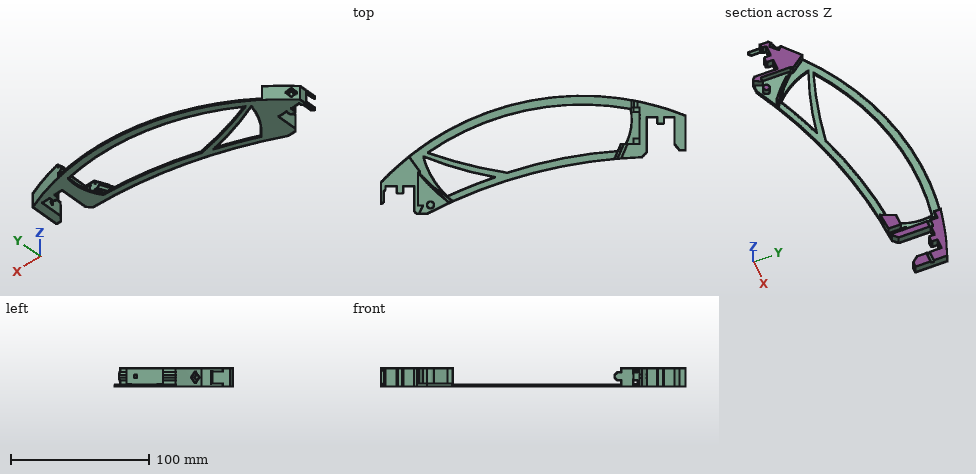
import cadquery as cq
import math

LENGTH = 220.71
WIDTH = 85.67
HEIGHT = 13.26
FRAME_THICKNESS = 1.5
MID_HEIGHT = HEIGHT / 2
ABOVE_FRAME_MID = (HEIGHT + FRAME_THICKNESS) / 2

LEFT_FOOT_X = 33.3
OUTER_RADIUS = 201.0
OUTER_CENTER = (146.0, WIDTH - OUTER_RADIUS)
UPPER_RING_RADIUS = 197.0
UPPER_RING_CENTER = (145.9, -117.8)
LOWER_CENTER = (202.0, -324.0)
LOWER_RADIUS = math.hypot(LOWER_CENTER[0] - LEFT_FOOT_X, LOWER_CENTER[1])
LOWER_RING_RADIUS = 315.9
LOWER_RING_CENTER = (191.0, -269.9)
STRUT_TOP_RADIUS = 226.4
STRUT_TOP_CENTER = (117.6, 255.4)
LEFT_EDGE_RADIUS = 61.0
LEFT_EDGE_CENTER = (89.7, 57.3)
RIGHT_EDGE_RADIUS = 39.4
RIGHT_EDGE_CENTER = (142.2, 68.4)

LEFT_SEAM_X = 20.3
LEFT_SLOT_TOP = 20.0
LEFT_LEG_X = 24.0
HOOK_END_Y = 7.2
HOOK_THICKNESS = 2.2
HOOK_ROOT_THICKNESS = 3.4
HOOK_STEP_Y = 16.4
HOOK_ARM_HEIGHT = 2.25
HOOK_LIP = 0.2
HOOK_WINDOW_END = 16.0
POCKET_FLOOR = 2.0
POCKET_X = 26.8
POCKET_FOOT_Y = 6.1
WALL_END_X = 52.2
WALL_END_Y = 9.2
PIN_CENTER = (35.9, 6.5)
PIN_DIAMETER = 5.0
SOCKET_SIDE = 6.0
SOCKET_DEPTH = 3.5
SOCKET_Y = 27.3

SEAT_X = 187.4
SEAT_BOTTOM = 50.7
SEAT_TOP = 77.2
UPPER_FACE_X = 185.8
LOWER_FACE_BOTTOM_X = 174.1
LOWER_FACE_TOP_X = 178.6
RIGHT_SLOT_LEFT = 192.7
RIGHT_SLOT_RIGHT = 212.5
RIGHT_SLOT_TOP = 69.9
ARM_END_Y = 46.1
LEG_CHAMFER = 3.7
ARM_CHAMFER_X = 3.8
ARM_CHAMFER_Y = 4.6
CHANNEL_X = 182.8
CHANNEL_TOP = 11.6
PAD_TOP = 1.8
UPPER_PAD_DEPTH = 3.3
LOWER_PAD_DEPTH = 3.8
HOLE_DIAMETER = 2.4
WALL_HOLE_Y = 70.5
ARM_HOLE_Y = 59.5

TONGUE_SHANK = 2.4
TONGUE_TAPER = 2.0
TONGUE_ROOT_HALF = 3.0
TONGUE_TIP_HALF = 1.0
OVERLAP = 1.0


def point_on_arc(center, radius, x, side):
    """Point at x on the upper (side=1) or lower (side=-1) half of a circle."""
    return (x, center[1] + side * math.sqrt(radius**2 - (x - center[0])**2))


def outer(x):
    return point_on_arc(OUTER_CENTER, OUTER_RADIUS, x, 1)


def lower(x):
    return point_on_arc(LOWER_CENTER, LOWER_RADIUS, x, 1)


def upper_ring(x):
    return point_on_arc(UPPER_RING_CENTER, UPPER_RING_RADIUS, x, 1)


def lower_ring(x):
    return point_on_arc(LOWER_RING_CENTER, LOWER_RING_RADIUS, x, 1)


def strut_top(x):
    return point_on_arc(STRUT_TOP_CENTER, STRUT_TOP_RADIUS, x, -1)


def left_edge(y):
    return (LEFT_EDGE_CENTER[0] - math.sqrt(LEFT_EDGE_RADIUS**2 - (y - LEFT_EDGE_CENTER[1])**2), y)


def right_edge(y):
    return (RIGHT_EDGE_CENTER[0] + math.sqrt(RIGHT_EDGE_RADIUS**2 - (y - RIGHT_EDGE_CENTER[1])**2), y)


def box(x0, x1, y0, y1, z0, z1):
    return cq.Workplane("XY").box(x1 - x0, y1 - y0, z1 - z0, centered=False).translate((x0, y0, z0))


def envelope(height):
    """Whole outline between the outer and the lower arc, at the given height."""
    mid_x = (LEFT_FOOT_X + RIGHT_SLOT_LEFT) / 2
    return (
        cq.Workplane("XY")
        .moveTo(*outer(0))
        .threePointArc(outer(LENGTH / 2), outer(LENGTH))
        .lineTo(LENGTH, 0)
        .lineTo(RIGHT_SLOT_LEFT, 0)
        .lineTo(*lower(RIGHT_SLOT_LEFT))
        .threePointArc(lower(mid_x), (LEFT_FOOT_X, 0))
        .lineTo(0, 0)
        .close()
        .extrude(height)
    )


def main_window():
    """Large opening between the upper ring, the strut, the lower arm and the right edge."""
    left_x = 34.0
    right_y = 76.0
    strut_end_x = 91.5
    corner_y = 45.9
    corner = right_edge(corner_y)
    ring_mid_x = (left_x + corner[0]) / 2
    start = upper_ring(left_x)
    return (
        cq.Workplane("XY")
        .moveTo(*start)
        .threePointArc(upper_ring(ring_mid_x), right_edge(right_y))
        .threePointArc(right_edge((right_y + corner_y) / 2), corner)
        .threePointArc(lower_ring((strut_end_x + corner[0]) / 2), lower_ring(strut_end_x))
        .threePointArc(strut_top((left_x + strut_end_x) / 2), start)
        .close()
        .extrude(FRAME_THICKNESS)
    )


def small_window():
    """Three-sided opening below the strut."""
    top_y = 41.6
    bottom_y = 12.8
    tip = (82.5, 26.6)
    strut_middle = (56.5, 32.7)
    arm_middle = (65.0, 20.1)
    return (
        cq.Workplane("XY")
        .moveTo(*left_edge(top_y))
        .threePointArc(strut_middle, tip)
        .threePointArc(arm_middle, left_edge(bottom_y))
        .threePointArc(left_edge((top_y + bottom_y) / 2), left_edge(top_y))
        .close()
        .extrude(FRAME_THICKNESS)
    )


def frame():
    """Thin plate with its windows, stopping where the holders begin."""
    ends = box(0, LEFT_SEAM_X, 0, WIDTH, 0, HEIGHT).union(
        box(SEAT_X, LENGTH, 0, WIDTH, 0, HEIGHT)
    )
    foot = box(0, LEFT_FOOT_X, 0, LEFT_SLOT_TOP, 0, HEIGHT)
    return envelope(FRAME_THICKNESS).cut(ends).cut(foot).cut(main_window()).cut(small_window())


def left_block():
    """Full-height outline: clip slot with a centre tab, hook, leg and slanted thin wall."""
    seam_end = (28.2, 30.7)
    wall_start = (28.5, 28.6)
    wall_bend = (37.3, 20.0)
    tab_left, tab_right = 11.4, 16.2
    tab_bottom = 14.7
    tab_chamfer = 0.8
    hook_tip = 0.6
    hook_chamfer = HOOK_THICKNESS - hook_tip
    leg_chamfer = 2.0
    return (
        cq.Workplane("XY")
        .moveTo(*outer(0))
        .threePointArc(outer(LEFT_SEAM_X / 2), outer(LEFT_SEAM_X))
        .lineTo(*seam_end)
        .lineTo(*wall_start)
        .lineTo(*wall_bend)
        .lineTo(*lower(WALL_END_X))
        .threePointArc(lower((LEFT_FOOT_X + WALL_END_X) / 2), (LEFT_FOOT_X, 0))
        .lineTo(LEFT_LEG_X + leg_chamfer, 0)
        .lineTo(LEFT_LEG_X, leg_chamfer)
        .lineTo(LEFT_LEG_X, LEFT_SLOT_TOP)
        .lineTo(tab_right, LEFT_SLOT_TOP)
        .lineTo(tab_right, tab_bottom + tab_chamfer)
        .lineTo(tab_right - tab_chamfer, tab_bottom)
        .lineTo(tab_left + tab_chamfer, tab_bottom)
        .lineTo(tab_left, tab_bottom + tab_chamfer)
        .lineTo(tab_left, LEFT_SLOT_TOP)
        .lineTo(HOOK_ROOT_THICKNESS, LEFT_SLOT_TOP)
        .lineTo(HOOK_ROOT_THICKNESS, HOOK_STEP_Y + HOOK_ROOT_THICKNESS - HOOK_THICKNESS)
        .lineTo(HOOK_THICKNESS, HOOK_STEP_Y)
        .lineTo(HOOK_THICKNESS, HOOK_END_Y + hook_chamfer)
        .lineTo(hook_tip, HOOK_END_Y)
        .lineTo(0, HOOK_END_Y)
        .close()
        .extrude(HEIGHT)
    )


def latch_pocket():
    """Triangular pocket behind the leg, open towards the lower edge."""
    apex = (POCKET_X, 30.1)
    foot_tip_x = 30.5
    wall_face_middle = (37.9, 18.1)
    wall_corner_x = 48.2
    foot_end_x = 27.5
    return (
        cq.Workplane("XY")
        .workplane(offset=POCKET_FLOOR)
        .moveTo(*apex)
        .lineTo(POCKET_X, POCKET_FOOT_Y)
        .lineTo(foot_tip_x, POCKET_FOOT_Y)
        .lineTo(foot_end_x, 0)
        .lineTo(foot_end_x, -OVERLAP)
        .lineTo(WALL_END_X, -OVERLAP)
        .lineTo(WALL_END_X, WALL_END_Y)
        .lineTo(wall_corner_x, WALL_END_Y)
        .threePointArc(wall_face_middle, apex)
        .close()
        .extrude(HEIGHT)
    )


def diamond_socket():
    """Square blind socket, turned on its corner, square to the curved outer edge."""
    x = OUTER_CENTER[0] - math.sqrt(OUTER_RADIUS**2 - (SOCKET_Y - OUTER_CENTER[1])**2)
    inward = cq.Vector(OUTER_CENTER[0] - x, OUTER_CENTER[1] - SOCKET_Y, 0).normalized()
    mouth = cq.Vector(x, SOCKET_Y, MID_HEIGHT) - inward * OVERLAP
    plane = cq.Plane(origin=mouth, xDir=(0, 0, 1), normal=inward)
    return (
        cq.Workplane(plane)
        .transformed(rotate=(0, 0, 45))
        .rect(SOCKET_SIDE, SOCKET_SIDE)
        .extrude(SOCKET_DEPTH + OVERLAP)
    )


def hook_window():
    """Opening through the hook wall that widens at 45 degrees towards its inner face."""
    half = MID_HEIGHT - HOOK_ARM_HEIGHT
    flare = HOOK_THICKNESS - HOOK_LIP
    return (
        cq.Workplane("XZ", origin=(0, HOOK_WINDOW_END, MID_HEIGHT))
        .polyline([
            (-OVERLAP, -half),
            (HOOK_LIP, -half),
            (HOOK_THICKNESS, -half - flare),
            (HOOK_THICKNESS, half + flare),
            (HOOK_LIP, half),
            (-OVERLAP, half),
        ])
        .close()
        .extrude(HOOK_WINDOW_END)
    )


def left_holder():
    pin = cq.Workplane("XY").center(*PIN_CENTER).circle(PIN_DIAMETER / 2).extrude(HEIGHT)
    return left_block().cut(latch_pocket()).cut(hook_window()).cut(diamond_socket()).union(pin)


def right_block():
    """Full-height outline: seat for the mating part, clip slot with a centre tab, and end arm."""
    tab_left, tab_right = 200.1, 205.2
    tab_bottom = 65.2
    tab_chamfer = 0.8
    leg_corner_x = RIGHT_SLOT_LEFT - LEG_CHAMFER
    leg_corner = lower(leg_corner_x)
    return (
        cq.Workplane("XY")
        .moveTo(*outer(UPPER_FACE_X))
        .threePointArc(outer((UPPER_FACE_X + LENGTH) / 2), outer(LENGTH))
        .lineTo(LENGTH, ARM_END_Y)
        .lineTo(RIGHT_SLOT_RIGHT + ARM_CHAMFER_X, ARM_END_Y)
        .lineTo(RIGHT_SLOT_RIGHT, ARM_END_Y + ARM_CHAMFER_Y)
        .lineTo(RIGHT_SLOT_RIGHT, RIGHT_SLOT_TOP)
        .lineTo(tab_right, RIGHT_SLOT_TOP)
        .lineTo(tab_right, tab_bottom + tab_chamfer)
        .lineTo(tab_right - tab_chamfer, tab_bottom)
        .lineTo(tab_left + tab_chamfer, tab_bottom)
        .lineTo(tab_left, tab_bottom + tab_chamfer)
        .lineTo(tab_left, RIGHT_SLOT_TOP)
        .lineTo(RIGHT_SLOT_LEFT, RIGHT_SLOT_TOP)
        .lineTo(RIGHT_SLOT_LEFT, leg_corner[1] + LEG_CHAMFER)
        .lineTo(*leg_corner)
        .threePointArc(lower((leg_corner_x + LOWER_FACE_BOTTOM_X) / 2), lower(LOWER_FACE_BOTTOM_X))
        .lineTo(LOWER_FACE_TOP_X, SEAT_BOTTOM)
        .lineTo(SEAT_X, SEAT_BOTTOM)
        .lineTo(SEAT_X, SEAT_TOP)
        .lineTo(UPPER_FACE_X, SEAT_TOP)
        .close()
        .extrude(HEIGHT)
    )


def tongue(bottom, top):
    """Tapered tongue standing out to the left of the face that runs from bottom to top."""
    start = cq.Vector(*bottom, ABOVE_FRAME_MID)
    edge = cq.Vector(*top, ABOVE_FRAME_MID) - start
    length = edge.Length
    along = edge.normalized()
    outward = cq.Vector(-along.y, along.x, 0)
    tip = TONGUE_SHANK + TONGUE_TAPER
    plane = cq.Plane(origin=start - along * length, xDir=outward, normal=along)
    bar = (
        cq.Workplane(plane)
        .polyline([
            (-OVERLAP, -TONGUE_ROOT_HALF),
            (TONGUE_SHANK, -TONGUE_ROOT_HALF),
            (tip, -TONGUE_TIP_HALF),
            (tip, TONGUE_TIP_HALF),
            (TONGUE_SHANK, TONGUE_ROOT_HALF),
            (-OVERLAP, TONGUE_ROOT_HALF),
        ])
        .close()
        .extrude(3 * length)
    )
    return bar.intersect(box(0, LENGTH, bottom[1] - length, top[1], 0, HEIGHT))


def tongues():
    """Both tongues, trimmed to the outer and lower arcs of the frame."""
    lower_tongue = tongue(lower(LOWER_FACE_BOTTOM_X), (LOWER_FACE_TOP_X, SEAT_BOTTOM))
    upper_top = outer(UPPER_FACE_X)[1] + TONGUE_SHANK + TONGUE_TAPER
    upper_tongue = tongue((UPPER_FACE_X, SEAT_TOP), (UPPER_FACE_X, upper_top))
    upper_tongue = upper_tongue.intersect(box(0, LENGTH, SEAT_TOP, WIDTH, 0, HEIGHT))
    return lower_tongue.union(upper_tongue).intersect(envelope(HEIGHT))


def cross_hole(x0, x1, y, z):
    """Round hole along X from x0 to x1."""
    return (
        cq.Workplane("YZ").workplane(offset=x0).center(y, z).circle(HOLE_DIAMETER / 2).extrude(x1 - x0)
    )


def right_holder():
    channel = box(CHANNEL_X, SEAT_X, 0, SEAT_BOTTOM, FRAME_THICKNESS, CHANNEL_TOP)
    wall_hole = cross_hole(SEAT_X, RIGHT_SLOT_LEFT, WALL_HOLE_Y, ABOVE_FRAME_MID)
    arm_hole = cross_hole(RIGHT_SLOT_RIGHT, LENGTH, ARM_HOLE_Y, MID_HEIGHT)
    upper_pad = box(CHANNEL_X, SEAT_X, SEAT_TOP - UPPER_PAD_DEPTH, SEAT_TOP, 0, PAD_TOP)
    lower_pad = box(CHANNEL_X, SEAT_X, SEAT_BOTTOM, SEAT_BOTTOM + LOWER_PAD_DEPTH, 0, PAD_TOP)
    block = right_block().cut(channel).cut(wall_hole).cut(arm_hole)
    return block.union(tongues()).union(upper_pad).union(lower_pad)


result = frame().union(left_holder()).union(right_holder())